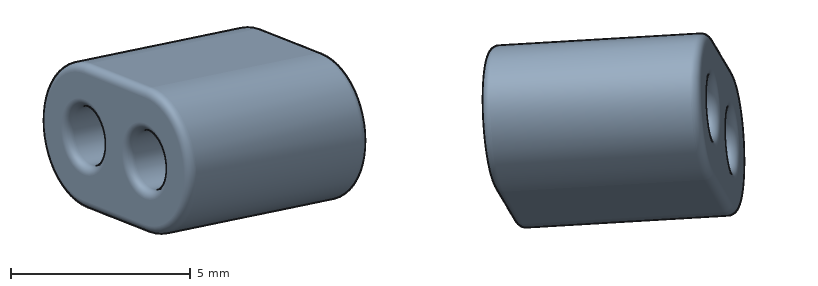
import cadquery as cq

width = 7.1
depth = 6.2
height = 4.2

hole_diameter = 1.7
hole_spacing = width - height

edge_radius = 0.25


def make_body():
    """Obround block running along Y, centred on the origin."""
    return (
        cq.Workplane("XZ")
        .slot2D(width, height)
        .extrude(depth / 2, both=True)
    )


def make_holes():
    """Pair of cylinders side by side along X, running through the full depth."""
    return (
        cq.Workplane("XZ")
        .rarray(hole_spacing, 0.07, 2, 1)
        .circle(hole_diameter / 2)
        .extrude(depth / 2, both=True)
    )


drilled_body = make_body().cut(make_holes())

result = drilled_body.faces("<Y or >Y").edges().fillet(edge_radius)